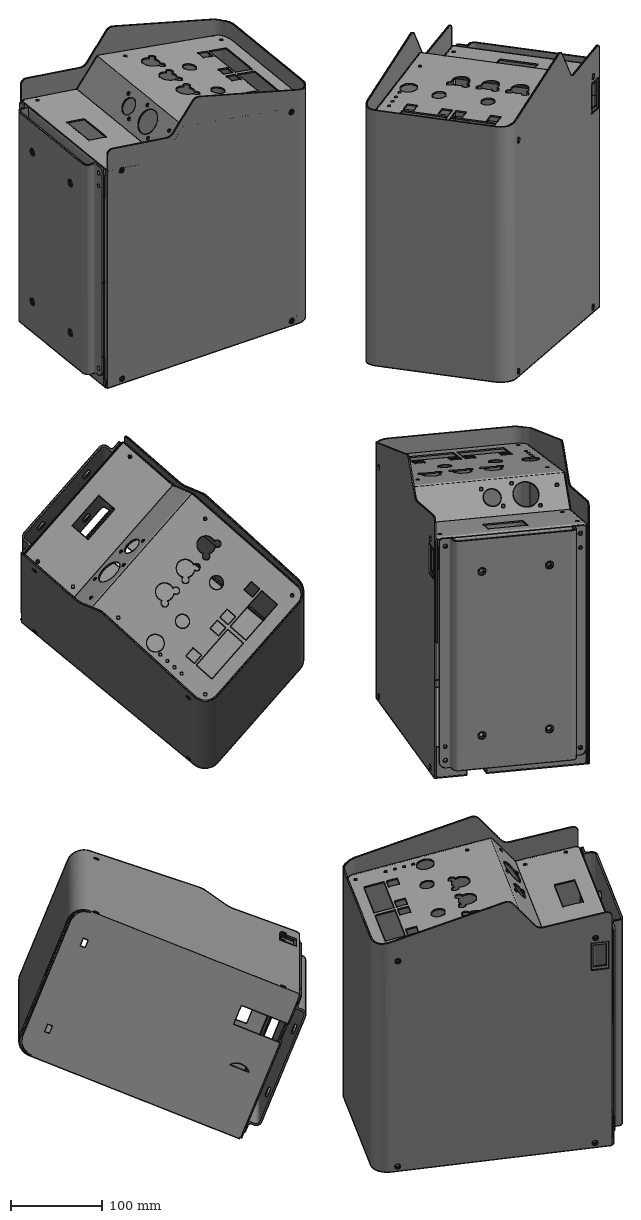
import cadquery as cq
import math


sheet = 1.5
width = 175.5
total_depth = 283.5
height = 335.5
bracket_depth = 14.5

back_y = total_depth - bracket_depth
shell_front_y = 2.5
shell_corner_r = 18.5
chassis_width = width - 2 * sheet
chassis_back_y = back_y - sheet
half_chassis = chassis_width / 2
through = 3 * height

shell_valley = (85.0, 295.5)
shell_back_z = 297.5
shell_rear_angle = math.radians(15)
step_angle = math.radians(52)
deck_angle = math.radians(8)
rear_deck_angle = math.radians(9.6)
ridge_r = 8.5
valley_r = 10.0
front_corner_r = 6.0

panel_valley = (73.0, 272.5)
panel_ridge_y = 100.0
panel_back_y = 265.5
panel_bend_r = 3.0
panel_front_bend_r = 5.0
panel_ridge_bend_r = 3.5
left_flange_bottom = 159.5
right_flange_bottom = 9.7
flange_back_y = 246.5
rear_lip_bottom = 275.0
front_lip_bottom = 245.0
front_lip_width = 167.0

tray_lip = right_flange_bottom
tray_front_lip = 37.5
tray_bend_r = 2.5

bracket_sheet = 2.0
bracket_bottom = 12.7
bracket_top = 282.0
bracket_width = 166.5
hat_width = 140.2
hat_bend_r = 6.7
foot_bend_r = 2.5
flange_bottom_r = 7.5
flange_top_r = 3.5


def box(x, y, z):
    """Box from (min, max) ranges along the three axes."""
    size = [high - low for low, high in (x, y, z)]
    return cq.Workplane("XY").box(*size, centered=False).translate((x[0], y[0], z[0]))


def side_prism(points, span):
    """Outline in (Y, Z), extruded across X and centred on X = 0."""
    return cq.Workplane("YZ").polyline(points).close().extrude(span / 2, both=True)


def plan_prism(half, back, radius):
    """Plan with rounded rear corners, taller than the cabinet."""
    plan = box((-half, half), (-back, back), (0, through))
    return plan.edges("|Z and >Y").fillet(radius)


def vertical_holes(points, radius):
    return cq.Workplane("XY").pushPoints(points).circle(radius).extrude(through)


def vertical_slots(points, x_size, y_size):
    return cq.Workplane("XY").pushPoints(points).rect(x_size, y_size).extrude(through)


def front_holes(points, radius, depth):
    """Holes along Y through the depth on both sides of Y = 0; points are (X, Z)."""
    return cq.Workplane("XZ").pushPoints(points).circle(radius).extrude(depth, both=True)


def side_holes(points, radius, span):
    """Holes along X across the given span; points are (Y, Z)."""
    return cq.Workplane("YZ").pushPoints(points).circle(radius).extrude(span / 2, both=True)


def corner(y, z):
    """Selector for the edge along X that crosses the point (y, z)."""
    reach = 0.5
    return cq.selectors.BoxSelector((-width, y - reach, z - reach), (width, y + reach, z + reach))


side_screws = [(20.8, 274.5), (242.2, 275.0), (21.5, 6.0), (242.5, 6.0)]
side_screw_r = 1.85
screw_clearance_r = 3.2
window_y = (6.0, 25.5)
window_z = (232.5, 268.0)
window_side_frame = 2.5
window_end_frame = 3.7


def make_shell():
    valley_y, valley_z = shell_valley
    half_turn = (shell_rear_angle + step_angle) / 2
    half_skew = (step_angle - shell_rear_angle) / 2
    apex_z = height - ridge_r + ridge_r * math.cos(half_skew) / math.cos(half_turn)
    apex_y = valley_y + (apex_z - valley_z) / math.tan(step_angle)
    slope_end_y = apex_y + (apex_z - shell_back_z) / math.tan(shell_rear_angle)
    front_z = valley_z + (valley_y - shell_front_y) * math.tan(deck_angle)
    outline = side_prism(
        [
            (shell_front_y, 0),
            (shell_front_y, front_z),
            (valley_y, valley_z),
            (apex_y, apex_z),
            (slope_end_y, shell_back_z),
            (back_y, shell_back_z),
            (back_y, 0),
        ],
        width,
    )
    outline = outline.edges(corner(apex_y, apex_z)).fillet(ridge_r)
    outline = outline.edges(corner(valley_y, valley_z)).fillet(valley_r)
    outline = outline.edges(corner(shell_front_y, front_z)).fillet(front_corner_r)
    wrap = plan_prism(width / 2, back_y, shell_corner_r)
    wrap = wrap.cut(plan_prism(half_chassis, chassis_back_y, shell_corner_r - sheet))
    window = box((-width, 0), window_y, window_z)
    return outline.intersect(wrap).cut(window).cut(side_holes(side_screws, screw_clearance_r, through))


panel_valley_y, panel_valley_z = panel_valley
panel_front_z = panel_valley_z + panel_valley_y * math.tan(deck_angle)
panel_ridge_z = panel_valley_z + (panel_ridge_y - panel_valley_y) * math.tan(step_angle)
panel_back_z = panel_ridge_z - (panel_back_y - panel_ridge_y) * math.tan(rear_deck_angle)


def make_hood():
    """Bent sheet: stepped top, side flanges, front lip and shallow rear lip."""
    profile = [
        (0, right_flange_bottom),
        (0, panel_front_z),
        (panel_valley_y, panel_valley_z),
        (panel_ridge_y, panel_ridge_z),
        (panel_back_y, panel_back_z),
        (panel_back_y, right_flange_bottom),
    ]
    block = side_prism(profile, chassis_width)
    block = block.edges(corner(0, panel_front_z)).fillet(panel_front_bend_r)
    block = block.edges(corner(panel_ridge_y, panel_ridge_z)).fillet(panel_ridge_bend_r)
    upper_low = (-width, panel_front_bend_r, panel_valley_z - panel_front_bend_r)
    upper_high = (width, panel_back_y - panel_front_bend_r, height)
    upper = cq.selectors.BoxSelector(upper_low, upper_high)
    block = block.edges(upper).edges("<X or >X").fillet(panel_bend_r)
    inner_profile = cq.Workplane("YZ").polyline(profile).close().offset2D(-sheet, "intersection")
    hollow = inner_profile.extrude(half_chassis - sheet, both=True)
    hood = block.cut(hollow)
    inside = (sheet - half_chassis, half_chassis - sheet)
    hood = hood.cut(box(inside, (0, back_y), (0, right_flange_bottom + sheet)))
    hood = hood.cut(box(inside, (0, sheet), (0, front_lip_bottom)))
    hood = hood.cut(box((-width, 0), (-sheet, back_y), (0, left_flange_bottom)))
    for side in (-1, 1):
        edge = sorted((side * front_lip_width / 2, side * (half_chassis - sheet)))
        hood = hood.cut(box(edge, (0, sheet), (0, panel_front_z - 2 * panel_front_bend_r)))
    hood = hood.cut(box((-width, width), (flange_back_y, back_y), (0, rear_lip_bottom)))
    return hood.intersect(plan_prism(half_chassis, panel_back_y, shell_corner_r - sheet))


meter_x = (-28.2, 29.2)
meter_window = (53.0, 22.5)
meter_window_y = 237.8
meter_pocket = 12.0
meter_pocket_y = 217.7
meter_knob_y = 184.0
meter_knob_r = 7.7
lamp_x = 73.5
lamp_y = 220.7
lamp_row = 31.0
lamp_count = 4
lamp_pitch = lamp_row / (lamp_count - 1)
lamp_r = 1.7
dial_center = (67.5, 177.8)
dial_r = 9.7
socket_x = -17.0
socket_pitch = 35.0
socket_y = 149.0
socket_r = 10.0
socket_ear = (9.5, 8.0)
socket_ear_r = 4.0
deck_screw_r = 1.85
rear_screws = [(-73.0, 254.5), (73.5, 254.5), (-73.0, 129.5), (73.5, 129.5)]

display_x = (-22.0, 22.8)
display_y = (20.0, 43.0)
front_screws = [(73.5, 64.5), (-77.5, 17.8), (78.0, 17.8)]

connectors = [(0.0, 10.0, 10.7), (38.2, 14.5, 14.0)]
step_screw = (74.5, 7.5)
step_screw_r = 2.0
step_cut_reach = 2 * sheet


def panel_openings():
    """Everything cut straight down through the two decks."""
    cuts = vertical_holes(rear_screws + front_screws, deck_screw_r)
    cuts = cuts.union(box(display_x, display_y, (0, through)))
    windows = [(x, meter_window_y) for x in meter_x]
    pocket_offset = (meter_window[0] - meter_pocket) / 2
    pockets = [(x + side * pocket_offset, meter_pocket_y) for x in meter_x for side in (-1, 1)]
    cuts = cuts.union(vertical_slots(windows, *meter_window))
    cuts = cuts.union(vertical_slots(pockets, meter_pocket, meter_pocket))
    cuts = cuts.union(vertical_holes([(x, meter_knob_y) for x in meter_x], meter_knob_r))
    lamps = [(lamp_x, lamp_y - i * lamp_pitch) for i in range(lamp_count)]
    cuts = cuts.union(vertical_holes(lamps, lamp_r))
    cuts = cuts.union(vertical_holes([dial_center], dial_r))
    for i in (-1, 0, 1):
        x = socket_x + i * socket_pitch
        cuts = cuts.union(vertical_holes([(x, socket_y)], socket_r))
        ears = [(x + side * socket_ear[0], socket_y + socket_ear[1]) for side in (-1, 1)]
        cuts = cuts.union(vertical_holes(ears, socket_ear_r))
    return cuts.intersect(box((-width, width), (0, back_y), (left_flange_bottom, through)))


def step_openings():
    """Connector holes square to the step, each with two screws on a diagonal."""
    middle_y = (panel_valley_y + panel_ridge_y) / 2
    middle_z = (panel_valley_z + panel_ridge_z) / 2
    normal = (0, -math.sin(step_angle), math.cos(step_angle))
    step = cq.Workplane(cq.Plane((0, middle_y, middle_z), (1, 0, 0), normal))
    screws = [step_screw]
    cuts = cq.Workplane("XY")
    for x, radius, offset in connectors:
        screws += [(x - offset, offset), (x + offset, -offset)]
        cuts = cuts.add(step.center(x, 0).circle(radius).extrude(step_cut_reach, both=True))
    cuts = cuts.add(step.pushPoints(screws).circle(step_screw_r).extrude(step_cut_reach, both=True))
    return cuts.combine()


tray_back_y = panel_back_y
cable_notch_x = (-51.5, -29.0)
cable_notch_depth = 56.5
cable_notch_top = 16.8
gland_center = (23.8, 32.0)
gland_r = 14.5
gland_flat_x = 14.8
vent_x = 52.0
vent_y = 242.2
vent_size = (9.0, 5.7)


def make_tray():
    """Floor sheet with low lips at the sides and back and a taller front lip."""
    block = box((-half_chassis, half_chassis), (0, tray_back_y), (0, tray_front_lip))
    block = block.edges(corner(0, 0)).fillet(tray_bend_r)
    inside = (sheet - half_chassis, half_chassis - sheet)
    hollow = box(inside, (sheet, tray_back_y - sheet), (sheet, height))
    tray = block.cut(hollow)
    tray = tray.cut(box((-width, width), (sheet, back_y), (tray_lip, height)))
    lip_end = (front_lip_width / 2, half_chassis)
    tray = tray.cut(box(lip_end, (0, sheet), (tray_bend_r, height)))
    tray = tray.intersect(plan_prism(half_chassis, tray_back_y, shell_corner_r - sheet))
    tray = tray.cut(box(cable_notch_x, (0, cable_notch_depth), (0, cable_notch_top)))
    gland = vertical_holes([gland_center], gland_r)
    tray = tray.cut(gland.intersect(box((-width, gland_flat_x), (0, back_y), (0, height))))
    vents = [(side * vent_x, vent_y) for side in (-1, 1)]
    return tray.cut(vertical_slots(vents, *vent_size))


bolt_x = 76.5
bolt_z = (21.5, 273.0)
locating_holes = [(-bolt_x, 37.5), (bolt_x, 256.3)]
bolt_r = 2.5
bolt_reach = 3.5
locating_r = 2.0
nut_x = 38.2
nut_z = (51.5, 244.2)
nut_hole_r = 4.5
nut_outer_r = 5.5
nut_bore_r = 2.7
nut_height = 2.5


def make_bracket():
    """Upright hat section with rivet nuts behind its front plate."""
    z_range = (bracket_bottom, bracket_top)
    half_hat = hat_width / 2
    hat = box((-half_hat, half_hat), (-bracket_depth, 0), z_range)
    hat = hat.edges("|Z and <Y").fillet(hat_bend_r)
    feet = box((-bracket_width / 2, bracket_width / 2), (-bracket_sheet, 0), z_range)
    feet = feet.edges("|Y and <Z").fillet(flange_bottom_r)
    feet = feet.edges("|Y and >Z").fillet(flange_top_r)
    section = hat.union(feet)
    for side in (-1, 1):
        root_point = (side * half_hat, -bracket_sheet, sum(z_range) / 2)
        root = cq.selectors.NearestToPointSelector(root_point)
        section = section.edges(root).fillet(foot_bend_r)
    inside = (bracket_sheet - half_hat, half_hat - bracket_sheet)
    hollow = box(inside, (bracket_sheet - bracket_depth, 0), z_range)
    bracket = section.cut(hollow.edges("|Z and <Y").fillet(hat_bend_r - bracket_sheet))

    nuts = [(side * nut_x, z) for side in (-1, 1) for z in nut_z]
    inner_face = cq.Workplane("XZ", origin=(0, bracket_sheet - bracket_depth, 0)).pushPoints(nuts)
    bracket = bracket.union(inner_face.circle(nut_outer_r).extrude(-nut_height))
    bracket = bracket.cut(inner_face.circle(nut_bore_r).extrude(bracket_depth, both=True))
    return bracket.cut(inner_face.circle(nut_hole_r).extrude(bracket_sheet))


hood = make_hood().cut(panel_openings()).cut(step_openings())
inner_window_y = (window_y[0] + window_side_frame, window_y[1] - window_side_frame)
inner_window_z = (window_z[0] + window_end_frame, window_z[1] - window_end_frame)
hood = hood.cut(box((-width, 0), inner_window_y, inner_window_z))

chassis = hood.union(make_tray()).cut(side_holes(side_screws, side_screw_r, through))
result = chassis.union(make_shell()).union(make_bracket())
bolts = [(side * bolt_x, z) for side in (-1, 1) for z in bolt_z]
result = result.cut(front_holes(bolts, bolt_r, bolt_reach))
result = result.cut(front_holes(locating_holes, locating_r, bolt_reach))